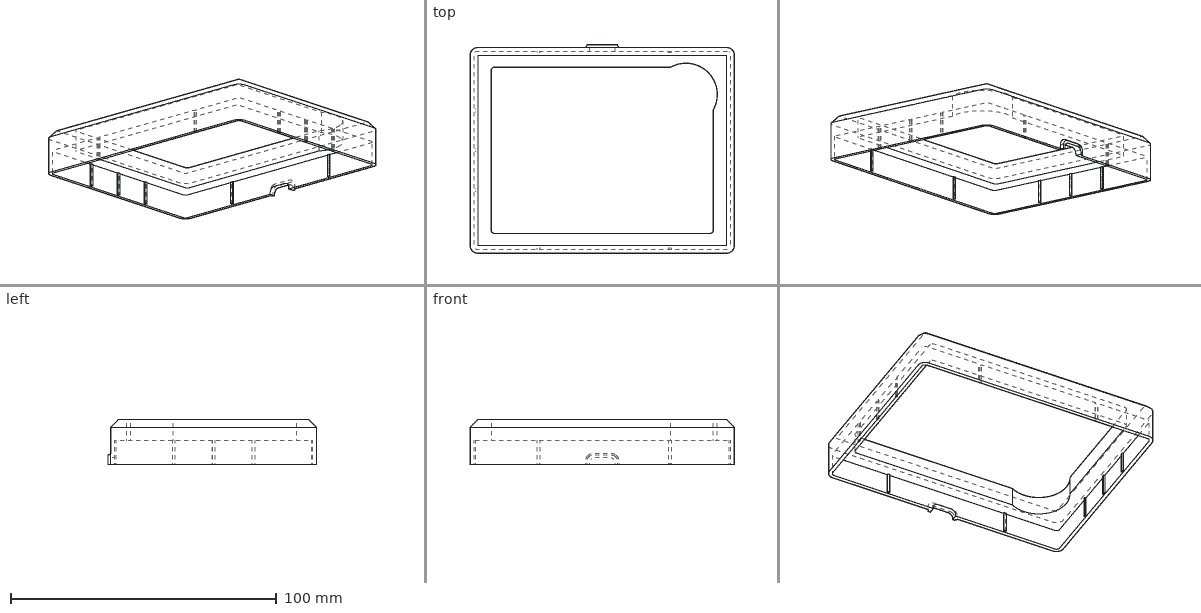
import cadquery as cq
import math

LENGTH = 99.5
WIDTH = 77.5
HEIGHT = 17.0
CORNER_RADIUS = 3.0
TIP_RADIUS = 0.01
TOP_CHAMFER = CORNER_RADIUS - TIP_RADIUS

WINDOW_LENGTH = 83.5
WINDOW_WIDTH = 62.5
WINDOW_CORNER_RADIUS = 1.25

RELIEF_RADIUS = 11.75
RELIEF_X = 31.5
RELIEF_Y = 21.0

WALL = 1.5
RECESS_DEPTH = 9.0
RECESS_CORNER_RADIUS = 1.25
RECESS_LENGTH = LENGTH - 2 * WALL
RECESS_WIDTH = WIDTH - 2 * WALL

RIB_WIDTH = 1.0
RIB_PROTRUSION = 0.5
RIB_BASE = 0.5
LONG_WALL_RIB_X = (-24.0, 25.5)
SHORT_WALL_RIB_Y = (-15.0, 0.0, 15.0)

PORT_WIDTH = 9.5
PORT_HEIGHT = 2.65
PORT_CORNER_RADIUS = 2.0
COLLAR_RIM = 1.5
COLLAR_LENGTH = 1.0
COLLAR_CORNER_RADIUS = 2.7
COLLAR_NARROWING = 0.6


def make_body():
    """Block with rounded vertical edges and a chamfered top rim."""
    body = cq.Workplane("XY").box(LENGTH, WIDTH, HEIGHT, centered=(True, True, False))
    body = body.edges("|Z").fillet(CORNER_RADIUS)
    return body.faces(">Z").chamfer(TOP_CHAMFER)


def make_window():
    """Rectangular window whose back right corner follows the round relief instead."""
    half_x = WINDOW_LENGTH / 2
    half_y = WINDOW_WIDTH / 2
    back_gap = half_y - RELIEF_Y
    side_gap = half_x - RELIEF_X
    arc_start = (RELIEF_X - math.sqrt(RELIEF_RADIUS**2 - back_gap**2), half_y)
    arc_end = (half_x, RELIEF_Y - math.sqrt(RELIEF_RADIUS**2 - side_gap**2))
    diagonal = RELIEF_RADIUS * math.sqrt(0.5)
    arc_middle = (RELIEF_X + diagonal, RELIEF_Y + diagonal)
    window = (
        cq.Workplane("XY")
        .moveTo(-half_x, -half_y)
        .lineTo(-half_x, half_y)
        .lineTo(*arc_start)
        .threePointArc(arc_middle, arc_end)
        .lineTo(half_x, -half_y)
        .close()
        .extrude(HEIGHT)
    )
    square_corners = window.edges("|Z and (<X or <Y)")
    return square_corners.fillet(WINDOW_CORNER_RADIUS)


def make_recess():
    """Rounded rectangular pocket, open at the bottom."""
    recess = cq.Workplane("XY").box(RECESS_LENGTH, RECESS_WIDTH, RECESS_DEPTH, centered=(True, True, False))
    return recess.edges("|Z").fillet(RECESS_CORNER_RADIUS)


def make_ribs():
    """Rectangular ribs on all four recess walls, from just above the open underside to the recess roof."""
    rib_x = (RECESS_LENGTH - RIB_PROTRUSION) / 2
    rib_y = (RECESS_WIDTH - RIB_PROTRUSION) / 2
    on_long_walls = [(x, side * rib_y) for side in (-1, 1) for x in LONG_WALL_RIB_X]
    on_short_walls = [(side * rib_x, y) for side in (-1, 1) for y in SHORT_WALL_RIB_Y]
    base = cq.Workplane("XY").workplane(offset=RIB_BASE)
    rib_height = RECESS_DEPTH - RIB_BASE
    long_wall_ribs = base.pushPoints(on_long_walls).rect(RIB_WIDTH, RIB_PROTRUSION).extrude(rib_height)
    short_wall_ribs = base.pushPoints(on_short_walls).rect(RIB_PROTRUSION, RIB_WIDTH).extrude(rib_height)
    return long_wall_ribs.add(short_wall_ribs).combine()


def add_collar(frame):
    """Collar tapering outwards from the back face; only its half above Z = 0 is kept."""
    base_width = PORT_WIDTH + 2 * COLLAR_RIM
    base_height = PORT_HEIGHT + COLLAR_RIM
    taper = math.degrees(math.atan(COLLAR_NARROWING / COLLAR_LENGTH))
    outline = cq.Sketch().rect(base_width, 2 * base_height).vertices().fillet(COLLAR_CORNER_RADIUS)
    back_plane = cq.Plane(origin=(0, WIDTH / 2, 0), xDir=(-1, 0, 0), normal=(0, 1, 0))
    collar = cq.Workplane(back_plane).placeSketch(outline).extrude(COLLAR_LENGTH, taper=taper)
    upper_half = cq.Workplane("XY").box(LENGTH, 2 * WIDTH, HEIGHT, centered=(True, True, False))
    return frame.union(collar.intersect(upper_half))


def make_port():
    """Opening through wall and collar, open at the bottom, with rounded upper corners."""
    inner_face = RECESS_WIDTH / 2
    depth = WALL + COLLAR_LENGTH
    port = cq.Workplane("XY").box(PORT_WIDTH, depth, PORT_HEIGHT, centered=(True, False, False))
    port = port.edges("|Y and >Z").fillet(PORT_CORNER_RADIUS)
    return port.translate((0, inner_face, 0))


frame = make_body().cut(make_window()).cut(make_recess()).union(make_ribs())
result = add_collar(frame).cut(make_port())